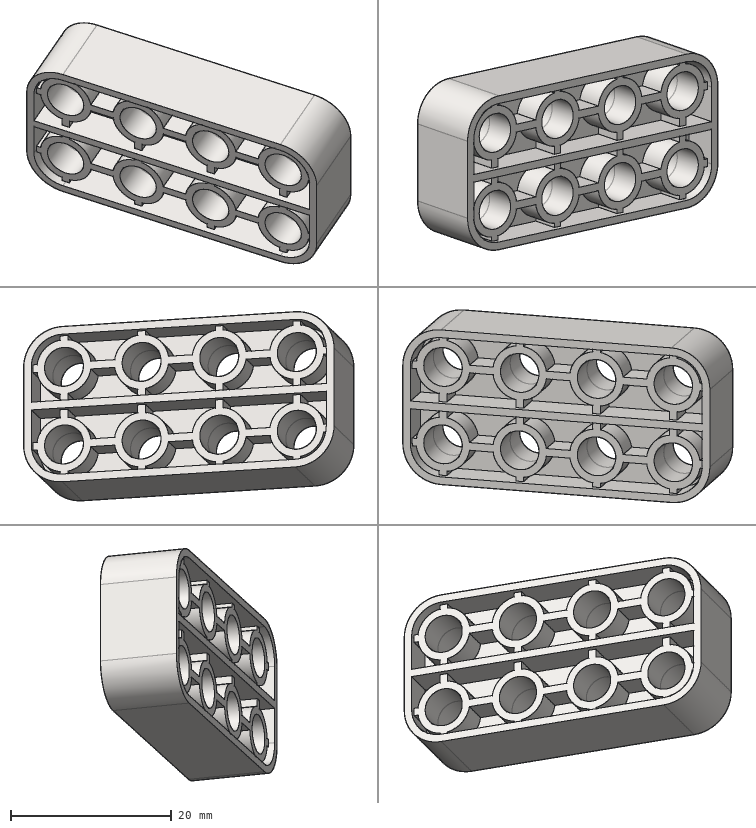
import cadquery as cq

pitch = 10.0
columns = 4
rows = 2
wall = 1.0
web = 1.0
hole_diameter = 5.0
tube_diameter = 7.0
recess = 0.8

length = columns * pitch
depth = pitch
height = rows * pitch
corner_radius = pitch / 2
core_depth = depth - 2 * recess

column_x = [(column - (columns - 1) / 2) * pitch for column in range(columns)]
row_z = [(row - (rows - 1) / 2) * pitch for row in range(rows)]
hole_centers = [(x, z) for x in column_x for z in row_z]


def block(size_x, size_y, size_z):
    """Block centred on the origin."""
    return cq.Workplane("XY").box(size_x, size_y, size_z)


def cylinders(diameter, size_y):
    """Cylinders along Y at every hole centre, centred on the depth."""
    circles = cq.Workplane("XZ").pushPoints(hole_centers).circle(diameter / 2)
    return circles.extrude(size_y / 2, both=True)


def make_outer_wall():
    """Rounded rectangular ring, open at both ends of the depth."""
    outside = block(length, depth, height).edges("|Y").fillet(corner_radius)
    inside = block(length - 2 * wall, depth, height - 2 * wall)
    return outside.cut(inside.edges("|Y").fillet(corner_radius - wall))


def make_web():
    """Sheet closing the ring at mid depth, ending inside the outer wall."""
    sheet = block(length - wall, web, height - wall)
    return sheet.edges("|Y").fillet(corner_radius - wall / 2)


def make_middle_wall():
    """Full-depth wall between the two rows of tubes."""
    return block(length - wall, depth, wall)


def make_ribs():
    """Ribs crossing at every hole centre, ending inside the outer wall."""
    ribs = cq.Workplane("XY")
    for z in row_z:
        ribs = ribs.union(block(length - wall, core_depth, wall).translate((0, 0, z)))
    for x in column_x:
        ribs = ribs.union(block(wall, core_depth, height - wall).translate((x, 0, 0)))
    return ribs


frame = make_outer_wall().union(make_web()).union(make_middle_wall())
tubes = cylinders(tube_diameter, core_depth)
holes = cylinders(hole_diameter, depth)
result = frame.union(make_ribs()).union(tubes).cut(holes)